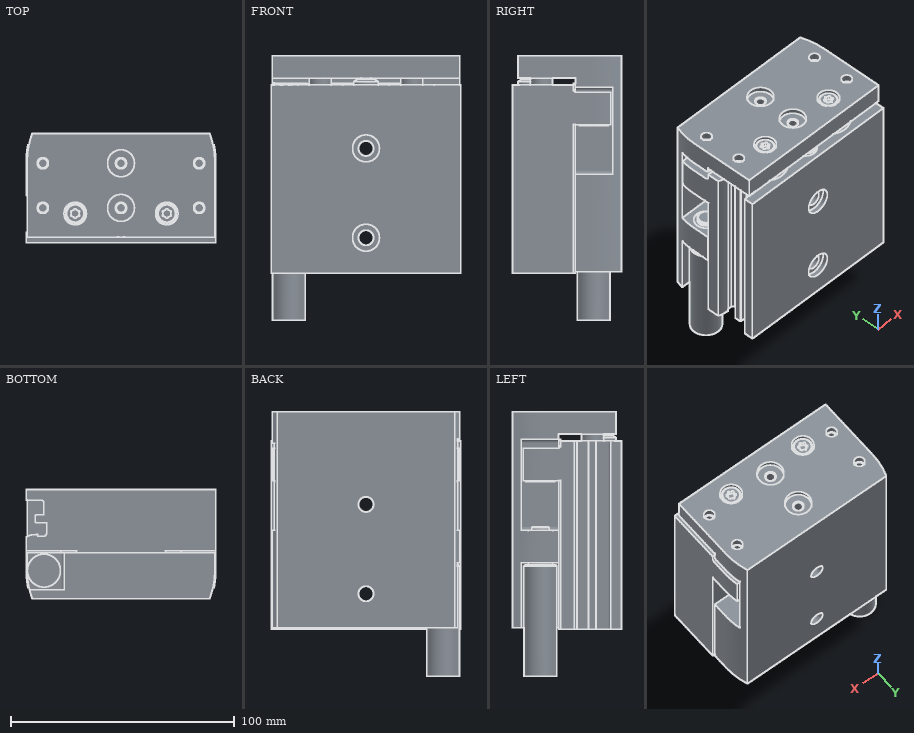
import cadquery as cq
import math


housing_width = 85.0
housing_height = 84.5
housing_back = 27.4
half_housing = housing_width / 2

slide_width = 84.0
slide_front = 2.5
slide_body_front = 28.3
slide_back = 49.0
slide_bottom = 0.7
slide_top = 97.5
plate_thickness = 10.0
plate_bottom = slide_top - plate_thickness
half_slide = slide_width / 2

corner_start = 36.4
corner_radius = 37.2

pocket_floor = 44.9
pocket_wall = 25.4
pocket_fillet = 1.65
pocket_top = 85.2
right_pocket_top = 83.5
block_top = 44.4
block_bottom = 29.8

lug_bottom = 66.65
lug_top = 81.1
lug_back = 44.0
lug_inner = 27.0
lug_root_fillet = 1.5
pad_diameter = 13.0
pad_height = 0.6

rail_width = 40.0
rail_top = 85.1

rear_groove_mouth = 21.3
lip_y = 20.1
lip_round_end = 20.3
lip_round_depth = 4.1
lip_round_mid = (1.4, 20.7)
lip_depth = 5.2
undercut_y = 21.0
rear_groove_depth = 9.3
undercut_chamfer = 1.0
rib_back = 15.0
rib_front = 11.4
rib_depth = 4.2
rib_edge_chamfer = 0.3
front_groove_depth = 8.0
front_groove_radius = 1.4
front_plate = 4.8

sleeve_diameter = 12.1
sleeve_depth = 2.6
through_diameter = 6.65
front_hole_heights = (16.0, 56.0)
thread_core_diameter = 4.13
thread_diameter = 5.0
thread_depth = 4.0
thread_core_depth = 8.0
thread_pitch_x = 35.0
thread_rows = (15.6, 35.6)

rod_x = 20.5
rod_y = 13.1
rod_diameter = 10.0
rod_bottom = 10.0
rod_recess_diameter = 20.0
rod_recess_depth = 2.0
screw_shank_diameter = 5.5
screw_pocket_diameter = 10.1
screw_pocket_depth = 4.5
screw_head_diameter = 8.57
screw_head_height = 3.7
screw_head_chamfer = 0.4
torx_diameter = 4.4
torx_lobe_diameter = 0.9
torx_depth = 2.0
torx_lobes = 6

plug_y = 8.0
plug_diameter = 11.0
plug_seat_depth = 4.0
plug_rim_height = 1.4
plug_top_diameter = 8.0
plug_cone_height = 1.0

absorber_x = -34.5
absorber_y = 36.4
absorber_diameter = 14.8
absorber_bottom = -21.0
absorber_shoulder = 29.0
absorber_chamfer = 0.6
absorber_neck_diameter = 10.92
absorber_tip_diameter = 8.0
absorber_tip_height = 1.6
absorber_tip_chamfer = 0.5


def box(x_min, x_max, y_min, y_max, z_min, z_max):
    size = (x_max - x_min, y_max - y_min, z_max - z_min)
    return cq.Workplane("XY").box(*size, centered=False).translate((x_min, y_min, z_min))


def upright(x, y, diameter, z_min, z_max):
    """Cylinder along Z."""
    base = cq.Workplane("XY", origin=(x, y, z_min))
    return base.circle(diameter / 2).extrude(z_max - z_min)


def crosswise(z, diameter, y_min, y_max):
    """Cylinder along Y at x = 0."""
    base = cq.Workplane("XZ", origin=(0, y_min, z))
    return base.circle(diameter / 2).extrude(y_min - y_max)


def round_backed(half_width, radius, y_min, y_max, z_min, z_max):
    """Prism whose straight sides run into arcs at the rear corners."""
    def side(y):
        rise = y - corner_start
        return half_width - radius + math.sqrt(radius ** 2 - rise ** 2)

    y_mid = (corner_start + y_max) / 2
    outline = (
        cq.Workplane("XY", origin=(0, 0, z_min))
        .moveTo(-half_width, y_min)
        .lineTo(half_width, y_min)
        .lineTo(half_width, corner_start)
        .threePointArc((side(y_mid), y_mid), (side(y_max), y_max))
        .lineTo(-side(y_max), y_max)
        .threePointArc((-side(y_mid), y_mid), (-half_width, corner_start))
        .close()
    )
    return outline.extrude(z_max - z_min)


def stop_lugs():
    """Two lugs reaching back into the slide pockets, with root fillets and stop pads."""
    lug_radius = corner_radius + half_housing - half_slide
    root = housing_back - lug_root_fillet
    lugs = round_backed(half_housing, lug_radius, root, lug_back, lug_bottom, lug_top)
    lugs = lugs.cut(box(-lug_inner, lug_inner, 0, slide_back, lug_bottom, lug_top))
    fillet_top = lug_top + lug_root_fillet
    fillet_end = housing_back + lug_root_fillet
    web = (
        cq.Workplane("YZ", origin=(-half_housing, 0, 0))
        .moveTo(root, lug_top)
        .lineTo(fillet_end, lug_top)
        .radiusArc((housing_back, fillet_top), lug_root_fillet)
        .lineTo(root, fillet_top)
        .close()
        .extrude(half_housing - lug_inner)
    )
    lugs = lugs.union(web).union(web.mirror("YZ"))
    for side in (-1, 1):
        pad = upright(side * absorber_x, absorber_y, pad_diameter, lug_bottom - pad_height, lug_bottom)
        lugs = lugs.union(pad)
    return lugs


def sensor_grooves():
    """Two full-height grooves in the left side, separated by a set-back rib."""
    outside = -half_housing
    floor = outside + rear_groove_depth
    rib_face = outside + rib_depth
    rounding_mid = (outside + lip_round_mid[0], lip_round_mid[1])
    rounding_end = (outside + lip_round_depth, lip_round_end)
    profile = (
        cq.Workplane("XY")
        .moveTo(outside, rear_groove_mouth)
        .threePointArc(rounding_mid, rounding_end)
        .lineTo(outside + lip_depth, lip_y)
        .lineTo(outside + lip_depth, undercut_y)
        .lineTo(floor - undercut_chamfer, undercut_y)
        .lineTo(floor, undercut_y - undercut_chamfer)
        .lineTo(floor, rib_back)
        .lineTo(rib_face + rib_edge_chamfer, rib_back)
        .lineTo(rib_face, rib_back - rib_edge_chamfer)
        .lineTo(rib_face, rib_front + rib_edge_chamfer)
        .lineTo(rib_face + rib_edge_chamfer, rib_front)
        .lineTo(outside + front_groove_depth, rib_front)
        .lineTo(outside + front_groove_depth, front_plate + front_groove_radius)
        .radiusArc((outside + front_groove_depth - front_groove_radius, front_plate), front_groove_radius)
        .lineTo(outside, front_plate)
        .close()
    )
    return profile.extrude(housing_height)


def make_housing():
    body = box(-half_housing, half_housing, 0, housing_back, 0, housing_height)
    rail = box(-rail_width / 2, rail_width / 2, housing_back, slide_body_front, 0, rail_top)
    body = body.union(rail).union(stop_lugs()).cut(sensor_grooves())
    for z in front_hole_heights:
        body = body.cut(crosswise(z, through_diameter, 0, slide_body_front))
        body = body.cut(crosswise(z, sleeve_diameter, 0, sleeve_depth))
    for x in (-rod_x, rod_x):
        recess_floor = housing_height - rod_recess_depth
        body = body.cut(upright(x, rod_y, rod_diameter, rod_bottom, housing_height))
        body = body.cut(upright(x, rod_y, rod_recess_diameter, recess_floor, housing_height))
    seat = upright(0, plug_y, plug_diameter, housing_height - plug_seat_depth, housing_height)
    return body.cut(seat)


def pocket(side, z_min, z_max, fillet_edges):
    """Side pocket, open to the front; side is -1 for left and 1 for right."""
    x_min, x_max = sorted((side * pocket_wall, side * half_housing))
    cutter = box(x_min, x_max, slide_body_front, pocket_floor, z_min, z_max)
    wall = "<X" if side > 0 else ">X"
    return cutter.faces(wall).edges(fillet_edges).fillet(pocket_fillet)


def threaded_hole(x, y, z_top):
    core = upright(x, y, thread_core_diameter, z_top - thread_core_depth, z_top)
    return core.union(upright(x, y, thread_diameter, z_top - thread_depth, z_top))


def countersunk_hole(x, y, z_top):
    sink_depth = (thread_diameter - thread_core_diameter) / 2
    core = upright(x, y, thread_core_diameter, z_top - thread_core_depth, z_top)
    sink = cq.Solid.makeCone(
        thread_core_diameter / 2,
        thread_diameter / 2,
        sink_depth,
        cq.Vector(x, y, z_top - sink_depth),
    )
    return core.union(cq.Workplane(sink))


def make_slide():
    body = round_backed(half_slide, corner_radius, slide_front, slide_back, slide_bottom, slide_top)
    body = body.cut(box(-half_slide, half_slide, slide_front, slide_body_front, slide_bottom, plate_bottom))
    body = body.cut(pocket(-1, block_top, pocket_top, "|Y"))
    body = body.cut(pocket(-1, slide_bottom, block_bottom, "|Y and >Z"))
    body = body.cut(pocket(1, block_top, right_pocket_top, "|Y"))
    for z in front_hole_heights:
        body = body.cut(crosswise(z, through_diameter, slide_body_front, slide_back))
    for y in thread_rows:
        for x in (-thread_pitch_x, thread_pitch_x):
            body = body.cut(threaded_hole(x, y, slide_top))
        body = body.cut(upright(0, y, sleeve_diameter, slide_top - sleeve_depth, slide_top))
        body = body.cut(countersunk_hole(0, y, slide_top - sleeve_depth))
    for x in (-rod_x, rod_x):
        pocket_base = slide_top - screw_pocket_depth
        body = body.cut(upright(x, rod_y, screw_shank_diameter, plate_bottom, slide_top))
        body = body.cut(upright(x, rod_y, screw_pocket_diameter, pocket_base, slide_top))
    return body.cut(upright(absorber_x, absorber_y, absorber_neck_diameter, block_bottom, block_top))


def make_rod(x):
    """Piston rod with its six-lobe screw head seated in the slide plate."""
    head_base = slide_top - screw_pocket_depth
    head_top = head_base + screw_head_height
    rod = upright(x, rod_y, rod_diameter, rod_bottom, plate_bottom)
    rod = rod.union(upright(x, rod_y, screw_shank_diameter, plate_bottom, head_base))
    head = upright(x, rod_y, screw_head_diameter, head_base, head_top)
    rod = rod.union(head.faces(">Z").chamfer(screw_head_chamfer))
    lobe_circle = (torx_diameter - torx_lobe_diameter) / 2
    socket_floor = head_top - torx_depth
    socket = upright(x, rod_y, 2 * lobe_circle, socket_floor, head_top)
    for index in range(torx_lobes):
        angle = math.pi / 2 + index * 2 * math.pi / torx_lobes
        lobe_x = x + lobe_circle * math.cos(angle)
        lobe_y = rod_y + lobe_circle * math.sin(angle)
        socket = socket.union(upright(lobe_x, lobe_y, torx_lobe_diameter, socket_floor, head_top))
    return rod.cut(socket)


def make_plug():
    rim_top = housing_height + plug_rim_height
    rim = upright(0, plug_y, plug_diameter, housing_height - plug_seat_depth, rim_top)
    cone = (
        cq.Workplane("XY", origin=(0, plug_y, rim_top))
        .circle(plug_diameter / 2)
        .workplane(offset=plug_cone_height)
        .circle(plug_top_diameter / 2)
        .loft()
    )
    return rim.union(cone)


def make_shock_absorber():
    place = (absorber_x, absorber_y)
    body = upright(*place, absorber_diameter, absorber_bottom, absorber_shoulder)
    body = body.faces(">Z").chamfer(absorber_chamfer)
    body = body.union(upright(*place, absorber_neck_diameter, absorber_shoulder, block_top))
    tip = upright(*place, absorber_tip_diameter, block_top, block_top + absorber_tip_height)
    return body.union(tip.faces(">Z").chamfer(absorber_tip_chamfer))


housing = make_housing()
slide = make_slide()
rods = [make_rod(x) for x in (-rod_x, rod_x)]
plug = make_plug()
shock_absorber = make_shock_absorber()

result = cq.Compound.makeCompound(
    [housing.val(), slide.val(), *[rod.val() for rod in rods], plug.val(), shock_absorber.val()]
)